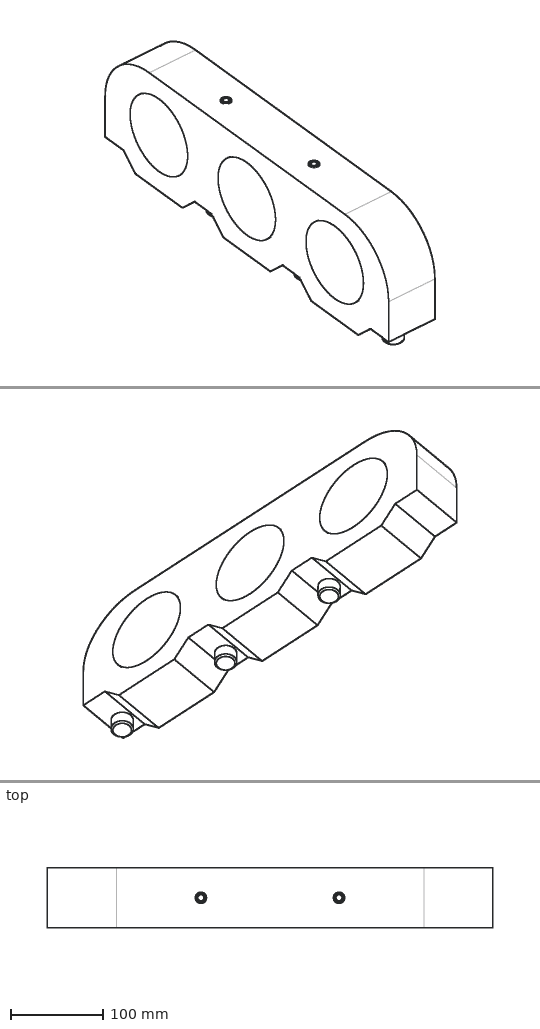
import cadquery as cq

length = 483.0
depth = 65.0
height = 150.0
corner_radius = 75.0

bore_diameter = 98.0
bore_pitch = 149.5
bore_height = height - corner_radius
bore_places = [-bore_pitch, 0, bore_pitch]

foot_height = 20.5
foot_width = 80.0
foot_top_width = foot_width + 2 * foot_height

pin_diameter = 24.0
pin_length = 15.5
pin_chamfer = 2.0
pin_y = -12.0
pin_places = [x + bore_pitch / 2 for x in bore_places]

screw_diameter = 12.0
screw_length = 14.5
screw_chamfer = 1.2
socket_diameter = 7.0
socket_depth = 7.2
socket_point_depth = 2.0
screw_bottom = height - screw_length
screw_places = pin_places[:-1]


def vertical_cylinder(x, y, bottom, diameter, cylinder_length):
    """An upright cylinder whose lower face is at height `bottom`."""
    return cq.Workplane("XY", origin=(x, y, bottom)).circle(diameter / 2).extrude(cylinder_length)


def make_plate():
    return (
        cq.Workplane("XY", origin=(0, 0, foot_height))
        .box(length, depth, height - foot_height, centered=(True, True, False))
        .edges("|Y and >Z")
        .fillet(corner_radius)
    )


def make_foot(x):
    return (
        cq.Workplane("XZ", origin=(x, depth / 2, 0))
        .moveTo(-foot_width / 2, 0)
        .lineTo(foot_width / 2, 0)
        .lineTo(foot_top_width / 2, foot_height)
        .lineTo(-foot_top_width / 2, foot_height)
        .close()
        .extrude(depth)
    )


def make_bore(x):
    return (
        cq.Workplane("XZ", origin=(x, depth / 2, bore_height))
        .circle(bore_diameter / 2)
        .extrude(depth)
    )


def make_housing():
    body = make_plate()
    for x in bore_places:
        body = body.union(make_foot(x)).cut(make_bore(x))
    for x in screw_places:
        body = body.cut(vertical_cylinder(x, 0, screw_bottom, screw_diameter, screw_length))
    return body


def make_pin(x):
    pin = vertical_cylinder(x, pin_y, foot_height - pin_length, pin_diameter, pin_length)
    return pin.faces("<Z").chamfer(pin_chamfer)


def make_socket(x):
    """A round blind hole that ends in a conical point."""
    socket_bottom = height - socket_depth
    bore = vertical_cylinder(x, 0, socket_bottom, socket_diameter, socket_depth)
    point = cq.Solid.makeCone(
        0,
        socket_diameter / 2,
        socket_point_depth,
        pnt=cq.Vector(x, 0, socket_bottom - socket_point_depth),
    )
    return bore.union(cq.Workplane(point))


def make_set_screw(x):
    screw = vertical_cylinder(x, 0, screw_bottom, screw_diameter, screw_length)
    screw = screw.faces(">Z").chamfer(screw_chamfer)
    return screw.cut(make_socket(x))


housing = make_housing()
pins = [make_pin(x) for x in pin_places]
set_screws = [make_set_screw(x) for x in screw_places]

result = cq.Compound.makeCompound(
    [
        housing.solids().val(),
        *[pin.solids().val() for pin in pins],
        *[screw.solids().val() for screw in set_screws],
    ]
)